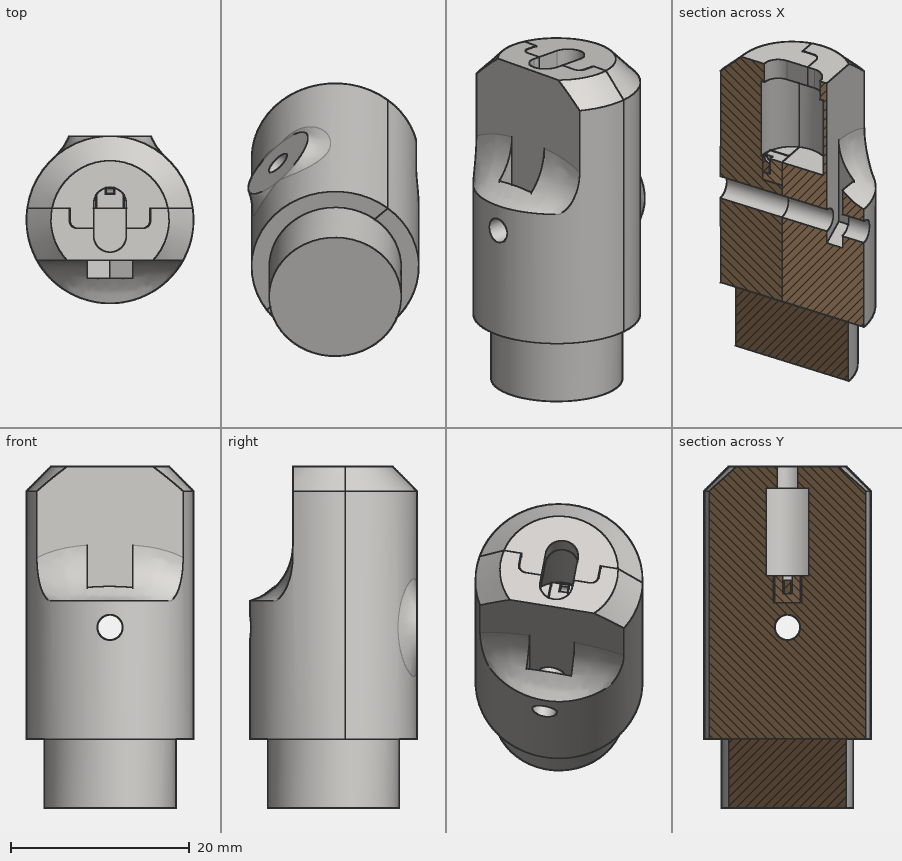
import cadquery as cq
import math

BODY_R = 9.36
TOTAL_H = 38.2
TUBE_D = 14.77
SHOULDER_Z = 7.7
TOP_CHAMFER = 2.75
SPLIT_Y = 1.3
FLAT_Y = -4.55
SHELF_Z = 23.17
BLEND_R = 6.6

SCREW_D = 2.8
SCREW_Z = 20.2
NUT_ACROSS_FLATS = 5.1
NUT_SLOT_DEPTH = 2.0
BOSS_R = 4.58
BOSS_DEPTH = 3.5
BLEND_SINK = 0.02
RIM_OVERLAP = 0.03

CORE_INSET = 0.05

SLOT_W = 3.66
SLOT_LEN = 7.25
TOP_WALL = 2.46
CAVITY_R = 4.0
CAVITY_TOP_Z = TOTAL_H - TOP_WALL
CAVITY_FLOOR_Z = 26.0

TONGUE_W = 8.9
TONGUE_TIP_Y = -0.95
TONGUE_CORNER_R = 0.8
GAP = 0.1

BLOCK_W = 2.96
BLOCK_END_Y = 3.8
BLOCK_H = 3.0
KEY_W = 0.82
KEY_FRONT_Y = 2.95
KEY_H = 2.0
KEY_HOLLOW_R = 0.6

CUT_ABOVE = TOTAL_H
OVERRUN = 1.08
FLUSH_TOL = 0.001
FRONT_BLEND_TOL = 0.005
BOSS_BLEND_TOL = 0.001
GRID = 24
GRID_ACROSS = 8


def box(x0, x1, y0, y1, z0, z1):
    return cq.Workplane("XY").box(x1 - x0, y1 - y0, z1 - z0, centered=False).translate((x0, y0, z0))


def cylinder(radius, z0, z1):
    return cq.Workplane("XY").workplane(offset=z0).circle(radius).extrude(z1 - z0)


def along_y(radius, y0, y1):
    """Cylinder parallel to Y at the height of the screw."""
    return cq.Workplane("XZ", origin=(0, y0, SCREW_Z)).circle(radius).extrude(y0 - y1)


def front_blend_point(u, v):
    """Point on the surface of a ball that touches the flat (v = 0) and rolls on the shelf edge (v = 1)."""
    centre_y = -FLAT_Y + BLEND_R
    max_turn = math.acos(centre_y / (BODY_R + BLEND_R))
    turn = max_turn * math.sin(u * math.pi / 2)
    reach = centre_y / math.cos(turn) - BODY_R
    rise = math.sqrt(max(BLEND_R**2 - reach**2, 0))
    centre = cq.Vector(centre_y * math.tan(turn), -centre_y, SHELF_Z + rise)
    to_flat = cq.Vector(0, 1, 0)
    to_edge = cq.Vector(-reach * math.sin(turn), reach * math.cos(turn), -rise) / BLEND_R
    opening = to_flat.getAngle(to_edge)
    across = (to_edge - to_flat * math.cos(opening)) / math.sin(opening)
    swing = opening * v
    return centre + to_flat * (BLEND_R * math.cos(swing)) + across * (BLEND_R * math.sin(swing))


def front_cut():
    """Everything above the blend between the flat and the shelf edge."""
    grid = [
        [front_blend_point(2 * i / GRID - 1, OVERRUN * j / GRID_ACROSS) for j in range(GRID_ACROSS + 1)]
        for i in range(GRID + 1)
    ]
    blend = cq.Face.makeSplineApprox(grid, tol=FRONT_BLEND_TOL)
    return cq.Workplane(cq.Solid.extrudeLinear(blend, cq.Vector(0, 0, CUT_ABOVE)))


def nut_trap():
    """Hexagonal nut seat with its flats upright, open to the top."""
    hexagon = (
        cq.Workplane("XZ", origin=(0, FLAT_Y, SCREW_Z))
        .polygon(6, NUT_ACROSS_FLATS, circumscribed=True)
        .extrude(NUT_SLOT_DEPTH)
    )
    half = NUT_ACROSS_FLATS / 2
    return hexagon.union(box(-half, half, FLAT_Y - NUT_SLOT_DEPTH, FLAT_Y, SCREW_Z, TOTAL_H))


def boss_blend_point(u, v):
    """Point on the surface of a ball that rolls on the boss rim (v = 0) and the round body (v = 1)."""
    seat_r = BODY_R - BLEND_SINK
    orbit = seat_r + BLEND_R
    rim_reach = math.hypot(BOSS_R, BODY_R)
    aim = (orbit**2 + rim_reach**2 - BLEND_R**2) / (2 * orbit)
    max_turn = math.atan2(BOSS_R, BODY_R) + math.acos(aim / rim_reach)
    turn = max_turn * math.cos(u * math.pi / 2)
    centre_x = orbit * math.sin(turn)
    centre_y = orbit * math.cos(turn)
    from_axis = BOSS_R + math.sqrt(BLEND_R**2 - (centre_y - BODY_R) ** 2)
    centre_z = math.copysign(math.sqrt(max(from_axis**2 - centre_x**2, 0)), u)
    centre = cq.Vector(centre_x, centre_y, SCREW_Z + centre_z)
    rim_scale = BOSS_R / from_axis
    rim = cq.Vector(centre_x * rim_scale, BODY_R, SCREW_Z + centre_z * rim_scale)
    to_rim = (rim - centre) / BLEND_R
    to_body = cq.Vector(-math.sin(turn), -math.cos(turn), 0)
    opening = to_rim.getAngle(to_body)
    across = (to_body - to_rim * math.cos(opening)) / math.sin(opening)
    swing = (opening + RIM_OVERLAP) * v - RIM_OVERLAP
    return centre + to_rim * (BLEND_R * math.cos(swing)) + across * (BLEND_R * math.sin(swing))


def rear_boss():
    """Pieces of a round screw boss, flush with the back of the body and blended into its sides."""
    grid = [
        [boss_blend_point(2 * i / GRID - 1, j / GRID_ACROSS) for j in range(GRID_ACROSS + 1)]
        for i in range(GRID + 1)
    ]
    blend = cq.Face.makeSplineApprox(grid, tol=BOSS_BLEND_TOL)
    skirt = cq.Workplane(cq.Solid.extrudeLinear(blend, cq.Vector(0, -BOSS_DEPTH, 0)))
    skirt = skirt.intersect(box(0, BODY_R, 0, BODY_R, 0, TOTAL_H))
    core = along_y(BOSS_R - CORE_INSET, BODY_R - BOSS_DEPTH, BODY_R)
    return core, skirt, skirt.mirror("YZ")


def rear_space(tongue_gap):
    """Space behind the split plane, with a round-cornered tongue reaching forward in the top wall."""
    behind = box(-BODY_R, BODY_R, SPLIT_Y, BODY_R, SHOULDER_Z, TOTAL_H)
    half = TONGUE_W / 2 + tongue_gap
    tongue = box(-half, half, TONGUE_TIP_Y, SPLIT_Y, CAVITY_TOP_Z, TOTAL_H)
    tongue = tongue.edges("|Z and <Y").fillet(TONGUE_CORNER_R + tongue_gap)
    return behind.union(tongue)


def hollow_body():
    """Round body of both half shells, with the cavity and the slot into it."""
    body = cylinder(BODY_R, SHOULDER_Z, TOTAL_H).faces(">Z").chamfer(TOP_CHAMFER)
    slot = (
        cq.Workplane("XY", origin=(0, 0, CAVITY_FLOOR_Z))
        .slot2D(SLOT_LEN, SLOT_W, 90)
        .extrude(TOTAL_H - CAVITY_FLOOR_Z)
    )
    return body.cut(cylinder(CAVITY_R, CAVITY_FLOOR_Z, CAVITY_TOP_Z)).cut(slot)


def screw_hole():
    return along_y(SCREW_D / 2, -BODY_R, BODY_R)


def floor_insert(width, y0, y1, height):
    """Upright bar whose top is level with the cavity floor."""
    return box(-width / 2, width / 2, y0, y1, CAVITY_FLOOR_Z - height, CAVITY_FLOOR_Z)


def make_front_shell():
    shell = hollow_body().cut(rear_space(GAP)).cut(front_cut())
    return shell.cut(nut_trap(), tol=FLUSH_TOL).cut(screw_hole())


def make_rear_shell():
    shell = hollow_body().intersect(rear_space(0))
    for piece in rear_boss():
        shell = shell.union(piece)
    pocket = floor_insert(BLOCK_W + 2 * GAP, SPLIT_Y, BLOCK_END_Y, BLOCK_H)
    return shell.cut(pocket).cut(screw_hole())


def make_tube():
    return cylinder(TUBE_D / 2, 0, SHOULDER_Z)


def make_block():
    block = floor_insert(BLOCK_W, SPLIT_Y, BLOCK_END_Y, BLOCK_H)
    return block.cut(floor_insert(KEY_W + 2 * GAP, KEY_FRONT_Y - GAP, BLOCK_END_Y, KEY_H))


def make_key():
    """Bar in the notch of the block, the front of its top hollowed to a quarter round."""
    key = floor_insert(KEY_W, KEY_FRONT_Y, BLOCK_END_Y, KEY_H)
    hollow = (
        cq.Workplane("YZ", origin=(-KEY_W / 2, KEY_FRONT_Y, CAVITY_FLOOR_Z))
        .circle(KEY_HOLLOW_R)
        .extrude(KEY_W)
    )
    return key.cut(hollow)


front_shell = make_front_shell().solids()
rear_shell = make_rear_shell().solids()
tube = make_tube().solids()
block = make_block().solids()
key = make_key().solids()

result = cq.Compound.makeCompound(
    [front_shell.val(), rear_shell.val(), tube.val(), block.val(), key.val()]
)